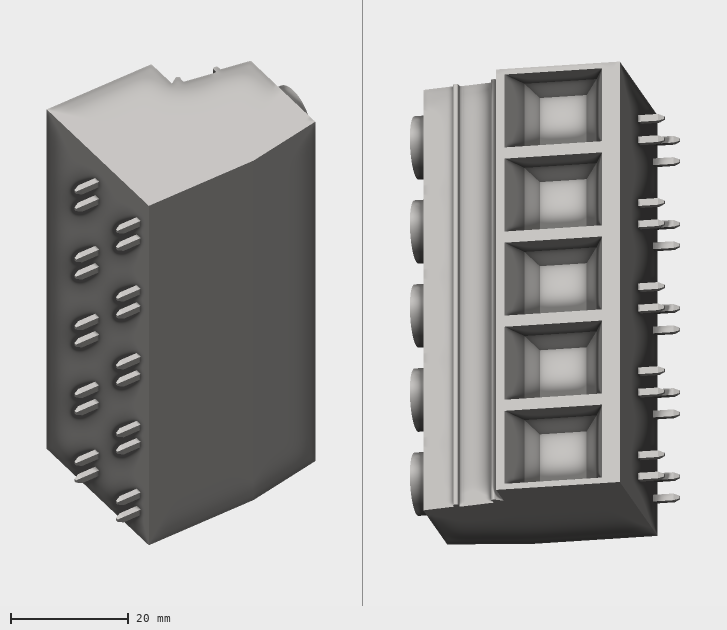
import cadquery as cq
import math

pole_count = 5
pole_pitch = 15.0
block_length = pole_count * pole_pitch

body_depth = 31.0
body_height = 36.0
shoulder_height = 21.5
top_front_x = 8.7
top_rear_x = 28.3
wall_draft = math.radians(10)

upper_rib_top = 30.45
upper_rib_thickness = 0.95
upper_rib_tip_x = 6.65
upper_rib_corner_radius = 0.3
recess_wall_x = 7.9
recess_wall_bottom = 28.9
hook_root_x = 6.25
hook_nose = (5.25, 22.9)
hook_nose_middle = (5.3, 23.3)
hook_crest = (5.7, 23.6)
hook_ledge_x = 6.15
hook_ledge_height = 23.4

entry_bottom = 3.05
entry_top = 20.0
entry_length = 13.0
entry_depth = 5.75
throat_inset = 2.2
floor_inset_y = 4.4
floor_length = 9.0
funnel_depth = 2.25

boss_diameter = 10.8
boss_height = 3.0
boss_x = 17.2

pin_width = 1.2
pin_tip_width = 0.5
pin_length = 4.51
pin_taper_length = 1.0
pin_columns_x = (15.35, 27.95)
pin_spacing_z = 3.8


def make_housing():
    """Extrude the stepped profile with its two latch ribs."""
    rib_bottom = upper_rib_top - upper_rib_thickness
    rib_round_x = upper_rib_tip_x + upper_rib_corner_radius
    rib_root_x = top_front_x - (body_height - upper_rib_top) * math.tan(wall_draft)
    lower_wall_drop = recess_wall_bottom - hook_ledge_height
    lower_wall_x = recess_wall_x - lower_wall_drop * math.tan(wall_draft)
    return (
        cq.Workplane("XY")
        .moveTo(0, 0)
        .lineTo(body_depth, 0)
        .lineTo(body_depth, shoulder_height)
        .lineTo(top_rear_x, body_height)
        .lineTo(top_front_x, body_height)
        .lineTo(rib_root_x, upper_rib_top)
        .lineTo(rib_round_x, upper_rib_top)
        .tangentArcPoint((upper_rib_tip_x, upper_rib_top - upper_rib_corner_radius), relative=False)
        .lineTo(upper_rib_tip_x, rib_bottom + upper_rib_corner_radius)
        .tangentArcPoint((rib_round_x, rib_bottom), relative=False)
        .lineTo(recess_wall_x, rib_bottom)
        .lineTo(recess_wall_x, recess_wall_bottom)
        .lineTo(lower_wall_x, hook_ledge_height)
        .lineTo(hook_ledge_x, hook_ledge_height)
        .lineTo(*hook_crest)
        .threePointArc(hook_nose_middle, hook_nose)
        .lineTo(hook_root_x, shoulder_height)
        .lineTo(0, shoulder_height)
        .close()
        .extrude(block_length)
    )


def make_wire_entry(pole_z):
    """Tapered mouth followed by a steeper funnel down to a flat floor."""
    center_y = (entry_bottom + entry_top) / 2
    mouth_height = entry_top - entry_bottom
    throat_height = mouth_height - 2 * throat_inset
    floor_height = mouth_height - 2 * floor_inset_y
    front = cq.Workplane("YZ", origin=(0, center_y, pole_z))
    mouth = (
        front.rect(mouth_height, entry_length)
        .workplane(offset=entry_depth)
        .rect(throat_height, entry_length)
        .loft(ruled=True)
    )
    funnel = (
        front.workplane(offset=entry_depth)
        .rect(throat_height, entry_length)
        .workplane(offset=funnel_depth)
        .rect(floor_height, floor_length)
        .loft(ruled=True)
    )
    return mouth.union(funnel)


def make_boss(pole_z):
    """Round screw boss standing on the top face."""
    top = cq.Workplane("XZ", origin=(boss_x, body_height, pole_z))
    return top.circle(boss_diameter / 2).extrude(-boss_height)


def make_pin(pin_x, pin_z):
    """Square pin pointing along -Y with a pyramid tip."""
    shank_length = pin_length - pin_taper_length
    underside = cq.Workplane("XZ", origin=(pin_x, 0, pin_z))
    shank = underside.rect(pin_width, pin_width).extrude(shank_length)
    tip = (
        underside.workplane(offset=shank_length)
        .rect(pin_width, pin_width)
        .workplane(offset=pin_taper_length)
        .rect(pin_tip_width, pin_tip_width)
        .loft(ruled=True)
    )
    return shank.union(tip)


result = make_housing()
for pole in range(pole_count):
    pole_z = (pole + 0.5) * pole_pitch
    result = result.cut(make_wire_entry(pole_z))
    result = result.union(make_boss(pole_z))
    for pin_x in pin_columns_x:
        for side in (-1, 1):
            result = result.union(make_pin(pin_x, pole_z + side * pin_spacing_z / 2))